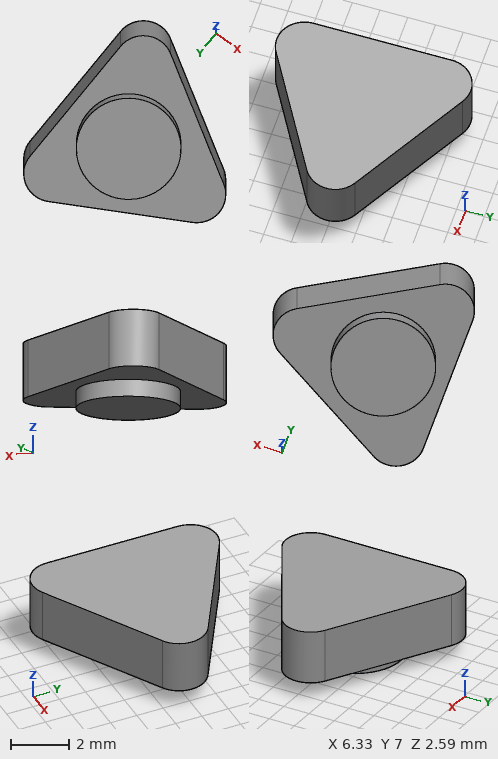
import cadquery as cq
import math

overall_width = 7.0
corner_radius = 1.0
plate_thickness = 2.0
boss_diameter = 3.6
boss_height = 0.595
boss_offset_x = -0.055
boss_offset_y = 0.055

core_side = overall_width - 2 * corner_radius
core_circumradius = core_side / math.sqrt(3)
core_inradius = core_circumradius / 2


def rounded_triangle_plate():
    """Triangular plate centred on the origin, with one corner towards +X."""
    corner_centres = [
        (core_circumradius, 0),
        (-core_inradius, core_side / 2),
        (-core_inradius, -core_side / 2),
    ]
    return (
        cq.Workplane("XY")
        .polyline(corner_centres)
        .close()
        .offset2D(corner_radius, "arc")
        .extrude(plate_thickness)
    )


def round_boss():
    """Round boss hanging below the underside of the plate."""
    return (
        cq.Workplane("XY")
        .center(boss_offset_x, boss_offset_y)
        .circle(boss_diameter / 2)
        .extrude(-boss_height)
    )


result = rounded_triangle_plate().union(round_boss())